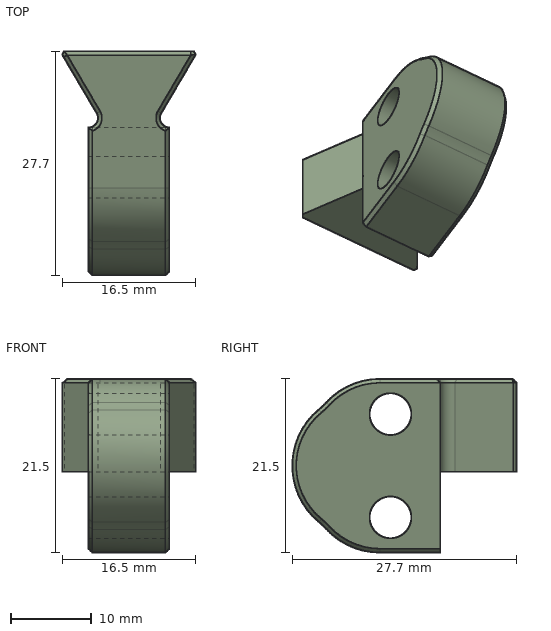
import cadquery as cq
import math

length = 27.73
height = 21.5
half_height = height / 2

block_width = 10.0
half_block = block_width / 2
block_length = 18.3
nose_radius = 8.98
shoulder_y = 10.85
chamfer = 0.5

tail_height = 11.5
tail_half_width = 8.5
neck_radius = 1.16

hole_diameter = 5.13
hole_y = 12.15
hole_spacing = 12.75


def polar(center, radius, angle):
    return (center[0] + radius * math.cos(angle), center[1] + radius * math.sin(angle))


def midpoint(a, b):
    return ((a[0] + b[0]) / 2, (a[1] + b[1]) / 2)


def mirrored(point):
    """Reflect a (y, z) point in the mid-height plane."""
    return (point[0], -point[1])


def make_block():
    """Side profile: shoulder arcs joined to the nose arc by concave blends of the same radius."""
    shoulder_center = (shoulder_y, half_height - nose_radius)
    nose_center = (nose_radius, 0)
    step_y = shoulder_center[0] - nose_center[0]
    step_z = shoulder_center[1] - nose_center[1]
    half_step = math.hypot(step_y, step_z) / 2
    blend_reach = math.sqrt((2 * nose_radius) ** 2 - half_step ** 2)
    outward = math.atan2(step_z, step_y) + math.pi / 2
    blend_center = polar(midpoint(shoulder_center, nose_center), blend_reach, outward)

    shoulder_end = midpoint(shoulder_center, blend_center)
    nose_start = midpoint(nose_center, blend_center)
    blend_middle = polar(blend_center, nose_radius, outward + math.pi)
    end_angle = math.atan2(shoulder_end[1] - shoulder_center[1], shoulder_end[0] - shoulder_center[0])
    shoulder_middle = polar(shoulder_center, nose_radius, (math.pi / 2 + end_angle) / 2)

    block = (
        cq.Workplane("YZ", origin=(-half_block, 0, 0))
        .moveTo(block_length, half_height)
        .lineTo(shoulder_y, half_height)
        .threePointArc(shoulder_middle, shoulder_end)
        .threePointArc(blend_middle, nose_start)
        .threePointArc((0, 0), mirrored(nose_start))
        .threePointArc(mirrored(blend_middle), mirrored(shoulder_end))
        .threePointArc(mirrored(shoulder_middle), (shoulder_y, -half_height))
        .lineTo(block_length, -half_height)
        .close()
        .extrude(block_width)
    )
    return block.faces("<X or >X").edges("not(|Z)").chamfer(chamfer)


def make_tail():
    """Dovetail whose flanks run tangent into round necks ending at the block's back corners."""
    neck_center = (half_block, block_length + neck_radius)
    to_corner_x = tail_half_width - neck_center[0]
    to_corner_y = length - neck_center[1]
    corner_distance = math.hypot(to_corner_x, to_corner_y)
    tangent_angle = math.atan2(to_corner_y, to_corner_x) + math.acos(neck_radius / corner_distance)
    flank_end = polar(neck_center, neck_radius, tangent_angle)
    neck_middle = polar(neck_center, neck_radius, (tangent_angle + 1.5 * math.pi) / 2)

    root_half_width = half_block + 2 * chamfer
    root_y = block_length - 2 * chamfer

    plate = (
        cq.Workplane("XY", origin=(0, 0, half_height - tail_height))
        .moveTo(root_half_width, root_y)
        .lineTo(root_half_width, block_length)
        .lineTo(half_block, block_length)
        .threePointArc(neck_middle, flank_end)
        .lineTo(tail_half_width, length)
        .lineTo(-tail_half_width, length)
        .lineTo(-flank_end[0], flank_end[1])
        .threePointArc((-neck_middle[0], neck_middle[1]), (-half_block, block_length))
        .lineTo(-root_half_width, block_length)
        .lineTo(-root_half_width, root_y)
        .close()
        .extrude(tail_height)
    )
    top_edges = plate.faces(">Z").edges()
    behind_root = cq.selectors.BoxSelector(
        (-length, block_length - chamfer, -height),
        (length, 2 * length, height),
    )
    outline = top_edges.edges(behind_root).add(plate.faces(">Y").edges("|Z"))
    root = cq.Workplane("XY").box(length, block_length, height, centered=(True, False, True))
    return outline.chamfer(chamfer).cut(root)


def make_neck_cones():
    """Cones that carry the neck chamfers on into the top back corners of the block."""
    cones = cq.Workplane("XY")
    for side in (-1, 1):
        cone = cq.Solid.makeCone(
            neck_radius,
            neck_radius + chamfer,
            chamfer,
            pnt=cq.Vector(side * half_block, block_length + neck_radius, half_height - chamfer),
        )
        cones = cones.add(cone)
    return cones.combine()


def make_holes():
    return (
        cq.Workplane("YZ", origin=(-half_block, 0, 0))
        .pushPoints([(hole_y, side * hole_spacing / 2) for side in (-1, 1)])
        .circle(hole_diameter / 2)
        .extrude(block_width)
    )


result = make_block().cut(make_neck_cones()).union(make_tail()).cut(make_holes()).clean()